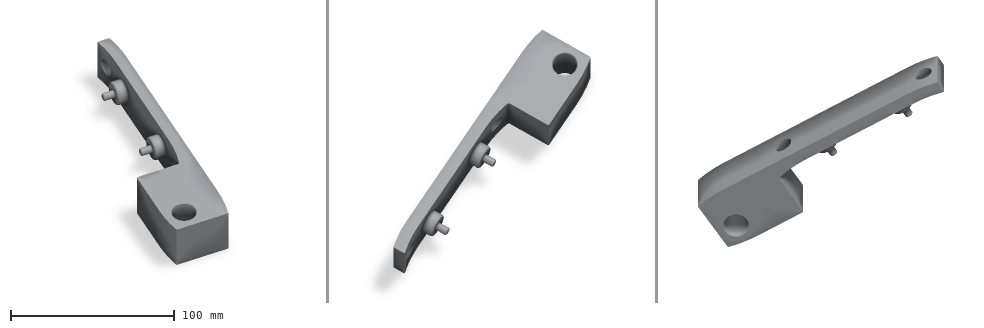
import cadquery as cq
import math

LENGTH = 172.0
DEPTH = 39.7
HEIGHT = 29.5

PLATE_THICKNESS = 7.9
BLOCK_LEFT = 119.4
FRONT_BEND_RADIUS = 75.0
BACK_BEND_RADIUS = FRONT_BEND_RADIUS + PLATE_THICKNESS
LEFT_BEND_START = 19.8
BLOCK_BEND_LENGTH = 20.0
OUTER_CORNER_RADIUS = 0.5
STEP_FILLET_RADIUS = 1.7

PLATE_MIDDLE = 59.0
FLAT_FRONT_END = 2 * PLATE_MIDDLE - LEFT_BEND_START
MOUNT_HOLE_DIAMETER = 11.0
MOUNT_HOLE_SPACING = 100.0

BORE_DIAMETER = 15.0
BORE_X = 159.5
BORE_Y = -26.5
BORE_CHAMFER = 0.5

PIN_SPACING = 54.0
COLLAR_DIAMETER = 15.0
COLLAR_HOLE_DIAMETER = 5.5
COLLAR_LENGTH = 6.5
COLLAR_CHAMFER_LENGTH = 1.0
COLLAR_CHAMFER_WIDTH = 0.5
PIN_DIAMETER = 5.0
PIN_LENGTH = 21.7
PIN_CHAMFER = 0.5


def pair_around_plate_middle(spacing):
    """X positions of two features centred on the middle of the plate."""
    return [PLATE_MIDDLE - spacing / 2, PLATE_MIDDLE + spacing / 2]


def cylinder_from(y_start, x, diameter, length):
    """Cylinder on the plate's mid-height that runs from y_start toward -Y."""
    plane = cq.Plane(origin=(x, y_start, 0), xDir=(1, 0, 0), normal=(0, -1, 0))
    return cq.Workplane(plane).circle(diameter / 2).extrude(length)


def bend_drop(radius, run):
    """How far a tangent arc falls away from a flat face after the given run."""
    return radius - math.sqrt(radius**2 - run**2)


def bend_point(y_flat, radius, tangent_x, x, side=-1):
    """Point at x on an arc tangent to a flat face; side is -1 to fall toward -Y, 1 to rise toward +Y."""
    return (x, y_flat + side * bend_drop(radius, abs(x - tangent_x)))


def bracket_blank():
    """Bracket outline with bent ends, extruded over the full height."""
    front = -PLATE_THICKNESS
    block_bend_start = LENGTH - BLOCK_BEND_LENGTH
    left_mid = LEFT_BEND_START / 2
    right_mid = LENGTH - BLOCK_BEND_LENGTH / 2
    step_mid = (FLAT_FRONT_END + BLOCK_LEFT) / 2

    back_left_end = bend_point(0, BACK_BEND_RADIUS, LEFT_BEND_START, 0)
    back_left_mid = bend_point(0, BACK_BEND_RADIUS, LEFT_BEND_START, left_mid)
    back_right_mid = bend_point(0, BACK_BEND_RADIUS, block_bend_start, right_mid)
    back_right_end = bend_point(0, BACK_BEND_RADIUS, block_bend_start, LENGTH)
    block_right_end = bend_point(-DEPTH, BACK_BEND_RADIUS, block_bend_start, LENGTH, side=1)
    block_right_mid = bend_point(-DEPTH, BACK_BEND_RADIUS, block_bend_start, right_mid, side=1)
    step_corner = bend_point(front, FRONT_BEND_RADIUS, FLAT_FRONT_END, BLOCK_LEFT)
    step_arc_mid = bend_point(front, FRONT_BEND_RADIUS, FLAT_FRONT_END, step_mid)
    front_left_mid = bend_point(front, FRONT_BEND_RADIUS, LEFT_BEND_START, left_mid)
    front_left_end = bend_point(front, FRONT_BEND_RADIUS, LEFT_BEND_START, 0)

    blank = (
        cq.Workplane("XY")
        .workplane(offset=-HEIGHT / 2)
        .moveTo(*back_left_end)
        .threePointArc(back_left_mid, (LEFT_BEND_START, 0))
        .lineTo(block_bend_start, 0)
        .threePointArc(back_right_mid, back_right_end)
        .lineTo(*block_right_end)
        .threePointArc(block_right_mid, (block_bend_start, -DEPTH))
        .lineTo(BLOCK_LEFT, -DEPTH)
        .lineTo(*step_corner)
        .threePointArc(step_arc_mid, (FLAT_FRONT_END, front))
        .lineTo(LEFT_BEND_START, front)
        .threePointArc(front_left_mid, front_left_end)
        .close()
        .extrude(HEIGHT)
    )
    block_corner = cq.selectors.NearestToPointSelector((BLOCK_LEFT, -DEPTH, 0))
    blank = blank.edges("|Z and (<X or >X)").fillet(OUTER_CORNER_RADIUS)
    blank = blank.edges(block_corner).fillet(OUTER_CORNER_RADIUS)
    step_edge = cq.selectors.NearestToPointSelector((*step_corner, 0))
    return blank.edges(step_edge).fillet(STEP_FILLET_RADIUS)


def bore_cutter():
    """Revolved cutter for the bore, flared at both ends to chamfer its rims."""
    radius = BORE_DIAMETER / 2
    rim_radius = radius + BORE_CHAMFER
    top = HEIGHT / 2
    outline = [
        (0, -top),
        (rim_radius, -top),
        (radius, BORE_CHAMFER - top),
        (radius, top - BORE_CHAMFER),
        (rim_radius, top),
        (0, top),
    ]
    cutter = cq.Workplane("XZ").polyline(outline).close().revolve(360, (0, 0, 0), (0, 1, 0))
    return cutter.translate((BORE_X, BORE_Y, 0))


def make_bracket():
    """Bent plate and block with its mounting holes, pin holes and bore."""
    bracket = bracket_blank()
    for x in pair_around_plate_middle(MOUNT_HOLE_SPACING):
        bracket = bracket.cut(cylinder_from(0, x, MOUNT_HOLE_DIAMETER, DEPTH))
    for x in pair_around_plate_middle(PIN_SPACING):
        bracket = bracket.cut(cylinder_from(0, x, PIN_DIAMETER, PLATE_THICKNESS))
    return bracket.cut(bore_cutter())


def make_collar(x):
    """Ring on the plate's front face with a chamfered outer rim."""
    collar = cylinder_from(-PLATE_THICKNESS, x, COLLAR_DIAMETER, COLLAR_LENGTH)
    collar = collar.faces("<Y").chamfer(COLLAR_CHAMFER_LENGTH, COLLAR_CHAMFER_WIDTH)
    return collar.cut(cylinder_from(-PLATE_THICKNESS, x, COLLAR_HOLE_DIAMETER, COLLAR_LENGTH))


def make_pin(x):
    """Pin from the plate's back through the collar, with a chamfered tip."""
    return cylinder_from(0, x, PIN_DIAMETER, PIN_LENGTH).faces("<Y").chamfer(PIN_CHAMFER)


bracket = make_bracket()
pin_positions = pair_around_plate_middle(PIN_SPACING)
collars = [make_collar(x).val() for x in pin_positions]
pins = [make_pin(x).val() for x in pin_positions]

result = cq.Compound.makeCompound([bracket.val(), *collars, *pins])